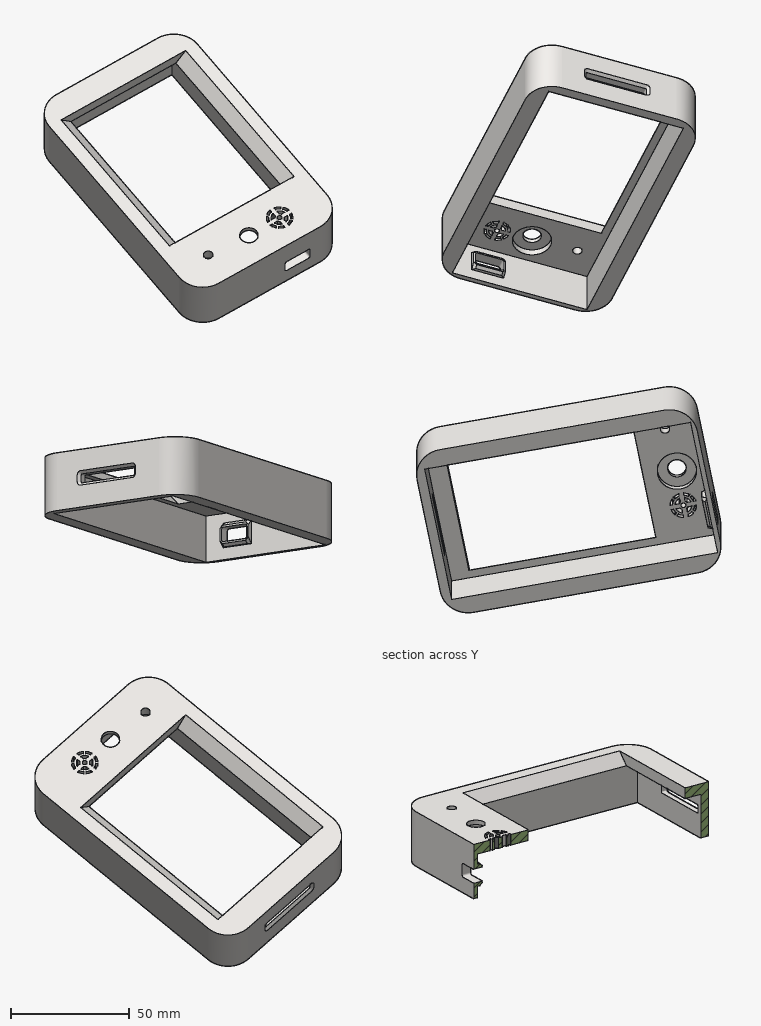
import cadquery as cq
import math

LENGTH = 120.0
WIDTH = 75.7
HEIGHT = 25.0
CORNER_RADIUS = 12.0

LEFT_WALL = 4.1
RIGHT_WALL = 2.0
SIDE_WALL = 7.5
PLATE = 5.0
CAVITY_HEIGHT = HEIGHT - PLATE

WINDOW_LENGTH = 80.0
WINDOW_WIDTH = 63.7
WINDOW_X = -7.9

BUTTON_X = 46.5
BUTTON_Y = -1.2
BUTTON_DIAMETER = 7.8
BUTTON_RECESS_DIAMETER = 16.5
BUTTON_PLATE = 2.0

SENSOR_X = 45.2
SENSOR_Y = -21.1
SENSOR_DIAMETER = 4.0

GRILLE_X = 46.3
GRILLE_Y = 14.6
GRILLE_DIAMETER = 11.2
GRILLE_RING_INNER = 9.1
GRILLE_SECTOR_OUTER = 7.1
GRILLE_HUB = 4.0
GRILLE_CENTER_HOLE = 2.0
GRILLE_CROSS_WIDTH = 2.0
GRILLE_SPOKE_WIDTH = 1.0

SLOT_Y = 1.0
SLOT_Z = 12.6
SLOT_LENGTH = 27.1
SLOT_HEIGHT = 3.8
SLOT_CORNER = 0.5
SLOT_FLARE = 1.2

PORT_Y = 14.4
PORT_Z = 10.3
PORT_LENGTH = 12.7
PORT_HEIGHT = 6.2
PORT_CORNER = 1.0

COLLAR_DEPTH = 4.5
COLLAR_FRONT = LENGTH / 2 - COLLAR_DEPTH
COLLAR_LENGTH = 14.4
COLLAR_HEIGHT = 10.3
COLLAR_CHAMFER = 1.2
COLLAR_CORNER_CUT = 2.5


def case_shell():
    body = cq.Workplane("XY").box(LENGTH, WIDTH, HEIGHT, centered=(True, True, False))
    body = body.edges("|Z").fillet(CORNER_RADIUS)
    cavity_length = LENGTH - LEFT_WALL - RIGHT_WALL
    cavity_width = WIDTH - 2 * SIDE_WALL
    cavity = cq.Workplane("XY").box(cavity_length, cavity_width, CAVITY_HEIGHT, centered=(False, True, False))
    return body.cut(cavity.translate((LEFT_WALL - LENGTH / 2, 0, 0)))


def window():
    top = WINDOW_WIDTH / 2
    bottom = top - PLATE
    return (
        cq.Workplane("YZ", origin=(WINDOW_X, 0, CAVITY_HEIGHT))
        .polyline([(-bottom, 0), (bottom, 0), (top, PLATE), (-top, PLATE)])
        .close()
        .extrude(WINDOW_LENGTH / 2, both=True)
    )


def plate_cylinder(x, y, diameter, depth=PLATE):
    """Cylinder rising from the underside of the top plate."""
    return cq.Workplane("XY", origin=(x, y, CAVITY_HEIGHT)).circle(diameter / 2).extrude(depth)


def button_hole():
    hole = plate_cylinder(BUTTON_X, BUTTON_Y, BUTTON_DIAMETER)
    recess = plate_cylinder(BUTTON_X, BUTTON_Y, BUTTON_RECESS_DIAMETER, PLATE - BUTTON_PLATE)
    return hole.union(recess)


def sensor_hole():
    return plate_cylinder(SENSOR_X, SENSOR_Y, SENSOR_DIAMETER)


def grille_ring(outer, inner):
    disc = plate_cylinder(GRILLE_X, GRILLE_Y, outer)
    return disc.cut(plate_cylinder(GRILLE_X, GRILLE_Y, inner))


def grille_bars(width, first_angle):
    """Two crossed bars that stay solid between the grille openings."""
    center = cq.Workplane("XY", origin=(GRILLE_X, GRILLE_Y, CAVITY_HEIGHT))
    center = center.transformed(rotate=(0, 0, first_angle))
    bar = center.rect(GRILLE_DIAMETER, width).extrude(PLATE)
    return bar.union(center.rect(width, GRILLE_DIAMETER).extrude(PLATE))


def grille():
    ring = grille_ring(GRILLE_DIAMETER, GRILLE_RING_INNER)
    ring = ring.cut(grille_bars(GRILLE_SPOKE_WIDTH, 45))
    sectors = grille_ring(GRILLE_SECTOR_OUTER, GRILLE_HUB)
    openings = ring.union(sectors).cut(grille_bars(GRILLE_CROSS_WIDTH, 0))
    return openings.union(plate_cylinder(GRILLE_X, GRILLE_Y, GRILLE_CENTER_HOLE))


def wall_block(x, y, z, depth, length, height):
    """Block reaching from x to x + depth, centered on y and z."""
    block = cq.Workplane("XY").box(depth, length, height, centered=(False, True, True))
    return block.translate((x, y, z))


def card_slot():
    outside = -LENGTH / 2
    throat = wall_block(outside, SLOT_Y, SLOT_Z, LEFT_WALL, SLOT_LENGTH, SLOT_HEIGHT)
    throat = throat.edges("|X").fillet(SLOT_CORNER)
    mouth = (
        cq.Workplane("YZ", origin=(outside, SLOT_Y, SLOT_Z))
        .sketch()
        .rect(SLOT_LENGTH + 2 * SLOT_FLARE, SLOT_HEIGHT + 2 * SLOT_FLARE)
        .vertices()
        .fillet(SLOT_CORNER + SLOT_FLARE)
        .finalize()
        .extrude(SLOT_FLARE, taper=45)
    )
    return throat.union(mouth)


def port_collar():
    collar = wall_block(COLLAR_FRONT, PORT_Y, PORT_Z, COLLAR_DEPTH, COLLAR_LENGTH, COLLAR_HEIGHT)
    collar = collar.faces("<X").edges("|Y").chamfer(COLLAR_CHAMFER)
    cut_depth = COLLAR_CORNER_CUT / math.sqrt(3)
    cutter_size = 4 * COLLAR_CORNER_CUT
    for side in (-1, 1):
        for level in (-1, 1):
            corner = cq.Vector(
                COLLAR_FRONT,
                PORT_Y + side * COLLAR_LENGTH / 2,
                PORT_Z + level * COLLAR_HEIGHT / 2,
            )
            outward = cq.Vector(-1, side, level).normalized()
            cut_plane = cq.Plane(origin=corner - outward * cut_depth, normal=outward)
            cutter = cq.Workplane(cut_plane).rect(cutter_size, cutter_size).extrude(COLLAR_CORNER_CUT)
            collar = collar.cut(cutter)
    return collar


def port():
    opening = wall_block(COLLAR_FRONT, PORT_Y, PORT_Z, COLLAR_DEPTH, PORT_LENGTH, PORT_HEIGHT)
    return opening.edges("|X").fillet(PORT_CORNER)


result = case_shell().union(port_collar())
for opening in (window(), button_hole(), sensor_hole(), grille(), card_slot(), port()):
    result = result.cut(opening)